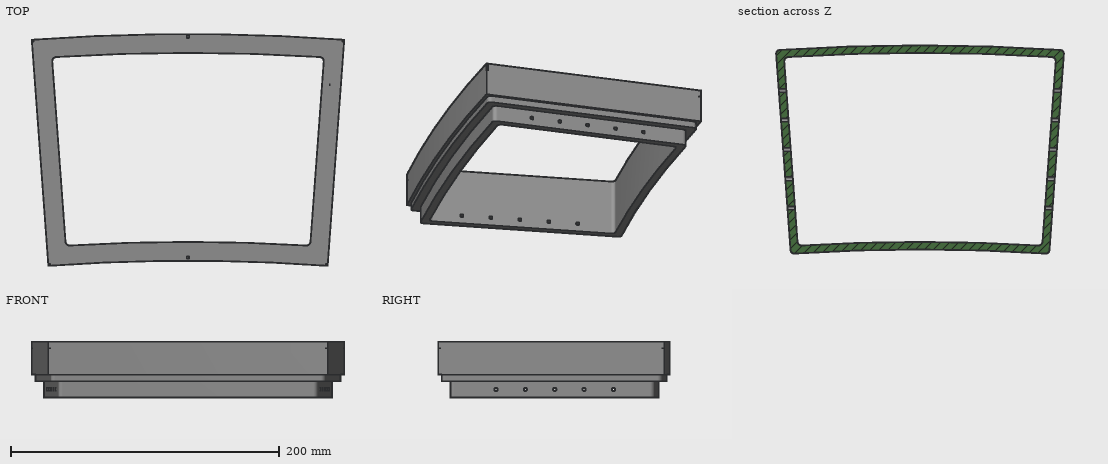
import cadquery as cq
import math

length_x = 233.0
depth_y = 172.8
half_angle = 4.2

skirt_height = 12.0
step_height = 5.0
rim_height = 24.7

step_inset = 2.3
skirt_inset = 8.5
window_inset = 14.2
corner_radius = 3.0

side_hole_diameter = 2.3
side_hole_count = 5
side_hole_spacing = 22.0
side_hole_middle_y = 0.5
middle_pin_diameter = 2.0
corner_pin_diameter = 1.5
pin_hole_depth = 5.0
back_pin_inset = 2.0
front_pin_inset = 2.5
corner_pin_inset = 0.82

slope = math.radians(half_angle)
outer_radius = length_x / 2 / math.sin(slope)
inner_radius = (outer_radius - depth_y) / math.cos(slope)
arc_centre_y = depth_y / 2 - outer_radius
skirt_top = skirt_height
step_top = skirt_top + step_height
rim_top = step_top + rim_height


def sector_corner(radius, inset):
    """Right-hand point at a radius, on the rim's side line moved inward in parallel by inset."""
    angle = slope - math.asin(inset / radius)
    return (radius * math.sin(angle), arc_centre_y + radius * math.cos(angle))


def sector(inset, z_bottom, z_top):
    """Solid annular sector, its outline moved inward by inset."""
    back_radius = outer_radius - inset
    front_radius = inner_radius + inset
    back_x, back_y = sector_corner(back_radius, inset)
    front_x, front_y = sector_corner(front_radius, inset)
    return (
        cq.Workplane("XY", origin=(0, 0, z_bottom))
        .moveTo(-front_x, front_y)
        .threePointArc((0, arc_centre_y + front_radius), (front_x, front_y))
        .lineTo(back_x, back_y)
        .threePointArc((0, arc_centre_y + back_radius), (-back_x, back_y))
        .close()
        .extrude(z_top - z_bottom)
    )


def rounded_sector(inset, z_bottom, z_top):
    return sector(inset, z_bottom, z_top).edges("|Z").fillet(corner_radius)


def side_holes():
    """Row of holes through both side walls of the skirt."""
    first_y = side_hole_middle_y - side_hole_spacing * (side_hole_count - 1) / 2
    points = [
        (first_y + i * side_hole_spacing, skirt_height / 2)
        for i in range(side_hole_count)
    ]
    return (
        cq.Workplane("YZ").pushPoints(points)
        .circle(side_hole_diameter / 2)
        .extrude(length_x / 2, both=True)
    )


def pin_holes(points, diameter):
    """Blind holes sunk into the top of the rim."""
    return (
        cq.Workplane("XY", origin=(0, 0, rim_top)).pushPoints(points)
        .circle(diameter / 2)
        .extrude(-pin_hole_depth)
    )


back_x, back_y = sector_corner(outer_radius - corner_pin_inset, corner_pin_inset)
front_x, front_y = sector_corner(inner_radius + corner_pin_inset, corner_pin_inset)
corner_pins = [
    (side * x, y)
    for x, y in ((back_x, back_y), (front_x, front_y))
    for side in (-1, 1)
]
middle_pins = [
    (0, arc_centre_y + outer_radius - back_pin_inset),
    (0, arc_centre_y + inner_radius + front_pin_inset),
]

frame = (
    rounded_sector(skirt_inset, 0, skirt_top)
    .union(rounded_sector(step_inset, skirt_top, step_top))
    .union(sector(0, step_top, rim_top))
    .cut(rounded_sector(window_inset, 0, rim_top))
)
result = frame.cut(side_holes())
result = result.cut(pin_holes(middle_pins, middle_pin_diameter))
result = result.cut(pin_holes(corner_pins, corner_pin_diameter))